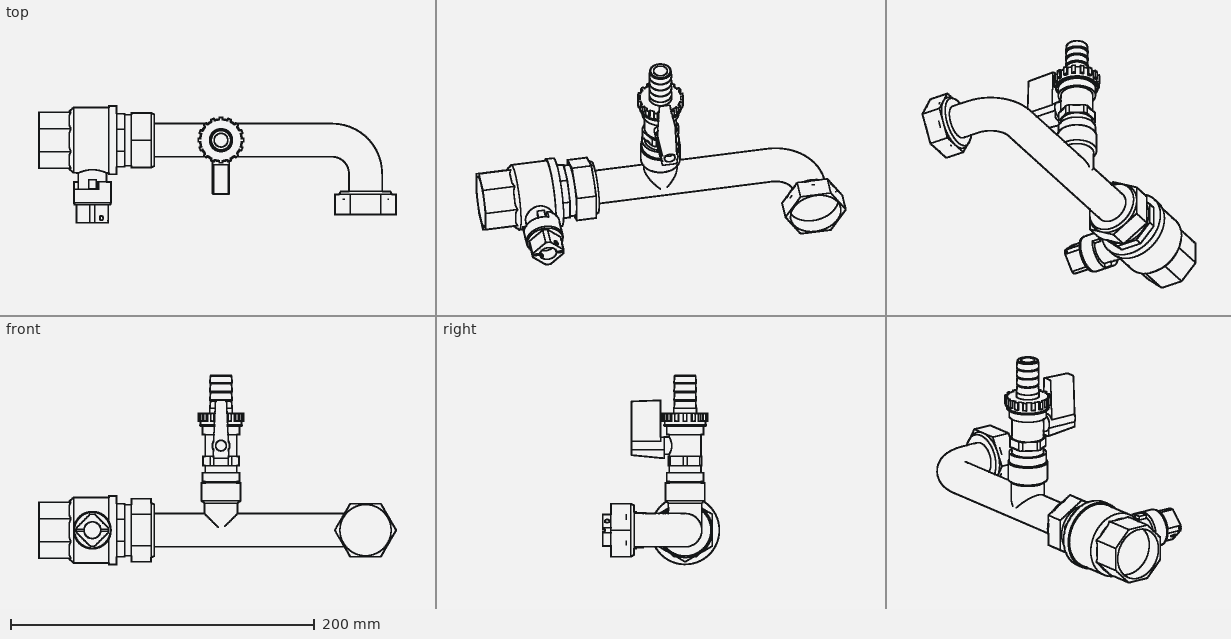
import cadquery as cq
import math


thread_d = 33.7
inlet_octagon_af = 37.0
inlet_length = 20.0
inlet_bore_depth = 10.0
shoulder_length = 3.0
shoulder_start_d = 38.0
body_d = 43.2
flange_d = 45.2
flange_start = 46.2
flange_end = 51.3
outlet_octagon_af = 35.0
outlet_octagon_end = 56.5

union_nut_af = 36.0
union_nut_start = 60.9
union_nut_hex_end = 73.9
union_nut_end = 76.1
union_nut_cone_d = 34.0

pipe_d = 22.0
bend_radius = 22.0
leg_x = 215.0
elbow_start = leg_x - bend_radius

elbow_nut_af = 35.0
elbow_nut_top = -33.6
elbow_nut_hex_top = -35.7
elbow_nut_face = -48.9
elbow_nut_cone_d = 32.6
elbow_nut_bore_depth = 10.0

operator_x = 35.3
operator_neck_d = 18.8
collar_d = 24.5
collar_rim_d = 23.6
collar_start = 27.4
collar_notch_end = 32.3
collar_chamfer_start = 41.3
collar_end = 42.6
notch_start_angle = 70.0
notch_end_angle = 180.0
stop_width = 4.8
stop_start = 26.0
stop_end = 31.9
stop_top = 11.6
square_af = 17.0
square_corner_d = 21.0
square_end = 54.36
square_bore_d = 11.0
square_bore_depth = 8.0
seal_hole_d = 3.0
seal_hole_y = -51.3
slot_width = 1.2
slot_depth = 1.5

tee_x = 119.9
socket_d = 26.0
socket_cone_bottom = 17.8
socket_bottom = 19.4
socket_top = 31.2
tap_thread_d = 20.9
tap_thread_length = 10.0

tap_collar_d = 24.5
tap_body_d = 21.0
lower_collar_bottom = 31.9
lower_collar_top = 37.9
tap_hex_af = 22.0
tap_hex_corner_d = 24.0
tap_hex_bottom = 42.4
tap_hex_top = 48.5
upper_collar_bottom = 62.9

knurl_bottom = 68.5
knurl_lip_bottom = 69.1
knurl_lip_top = 69.5
knurl_teeth_bottom = 71.7
knurl_top = 76.9
knurl_root_d = 27.0
knurl_lip_d = 28.0
tooth_tip_d = 30.0
tooth_width = 2.3
tooth_count = 16

barb_base_top = 80.1
barb_top = 102.01
barb_tip_d = 14.0
barb_base_d = 15.0
barb_d = 14.8
barb_root_d = 14.0
barb_count = 3
barb_pitch = 5.67
barb_step = 0.9
barb_chamfer = 0.6
hose_bore_d = 9.0
hose_bore_depth = 12.0

lever_z = 55.6
lever_boss_d = 11.5
lever_hub_d = 11.2
lever_boss_end = -13.6
lever_end = -35.4
lever_hole_d = 7.0
lever_hole_depth = 5.0
foot_width = 10.0
foot_inner_z = 47.2
foot_end_z = 49.3
plate_start = -16.2
plate_top_width = 7.2
plate_bottom_width = 10.0
plate_inner_top = 85.5
plate_end_top = 84.8
plate_edge_radius = 1.2
foot_edge_radius = 1.0
lever_end_radius = 0.6


def rod(plane, origin, diameter, length):
    """Round bar from the origin along the plane's normal."""
    return cq.Workplane(plane, origin=origin).circle(diameter / 2).extrude(length)


def polygon_bar_x(start, end, sides, across_flats, turn):
    """Bar along X with a regular polygon section, turned about its axis."""
    corner_d = across_flats / math.cos(math.pi / sides)
    bar = cq.Workplane("YZ", origin=(start, 0, 0)).polygon(sides, corner_d).extrude(end - start)
    return bar.rotate((0, 0, 0), (1, 0, 0), turn)


def cone(plane, origin, start_d, end_d, length):
    """Truncated cone from the origin along the plane's normal."""
    base = cq.Workplane(plane, origin=origin).circle(start_d / 2)
    return base.workplane(offset=length).circle(end_d / 2).loft()


def make_ball_valve():
    shoulder_end = inlet_length + shoulder_length
    octagon_turn = 180 / 8
    valve = polygon_bar_x(0, shoulder_end, 8, inlet_octagon_af, octagon_turn)
    valve = valve.union(cone("YZ", (inlet_length, 0, 0), shoulder_start_d, body_d, shoulder_length))
    valve = valve.union(rod("YZ", (shoulder_end, 0, 0), body_d, flange_start - shoulder_end))
    valve = valve.union(rod("YZ", (flange_start, 0, 0), flange_d, flange_end - flange_start))
    valve = valve.union(polygon_bar_x(flange_end, outlet_octagon_end, 8, outlet_octagon_af, octagon_turn))
    valve = valve.union(rod("YZ", (outlet_octagon_end, 0, 0), thread_d, union_nut_start - outlet_octagon_end))
    return valve.cut(rod("YZ", (0, 0, 0), thread_d, inlet_bore_depth))


def make_union_nut():
    nut = polygon_bar_x(union_nut_start, union_nut_hex_end, 6, union_nut_af, 90)
    cone_length = union_nut_end - union_nut_hex_end
    return nut.union(cone("YZ", (union_nut_hex_end, 0, 0), union_nut_af, union_nut_cone_d, cone_length))


def make_stop_collar():
    """Collar around the operator neck; two opposite sectors of its inner edge are cut away."""
    collar = rod("XZ", (operator_x, -collar_start, 0), collar_d, collar_chamfer_start - collar_start)
    rim_length = collar_end - collar_chamfer_start
    collar = collar.union(
        cone("XZ", (operator_x, -collar_chamfer_start, 0), collar_d, collar_rim_d, rim_length)
    )
    reach = collar_d
    half_angle = math.radians((notch_end_angle - notch_start_angle) / 2)
    side = reach / math.cos(half_angle)
    first = math.radians(notch_start_angle)
    last = math.radians(notch_end_angle)
    notch = (
        cq.Workplane("XZ", origin=(operator_x, -collar_start, 0))
        .polyline([
            (0, 0),
            (side * math.cos(first), side * math.sin(first)),
            (side * math.cos(last), side * math.sin(last)),
        ])
        .close()
        .extrude(collar_notch_end - collar_start)
    )
    for turn in (0, 180):
        collar = collar.cut(notch.rotate((operator_x, 0, 0), (operator_x, 1, 0), turn))
    return collar


def make_square_cap():
    """Square drive with rounded corners, standing on its corner, with bore, seal hole and screw slot."""
    length = square_end - collar_end
    axis_point = (operator_x, 0, 0)
    axis_end = (operator_x, 1, 0)
    cap = (
        cq.Workplane("XZ", origin=(operator_x, -collar_end, 0))
        .rect(square_af, square_af)
        .extrude(length)
        .rotate(axis_point, axis_end, 45)
        .intersect(rod("XZ", (operator_x, -collar_end, 0), square_corner_d, length))
    )
    bore_start = -square_end + square_bore_depth
    cap = cap.cut(rod("XZ", (operator_x, bore_start, 0), square_bore_d, square_bore_depth))
    seal_hole = (
        rod("XY", (operator_x, seal_hole_y, -square_af), seal_hole_d, 2 * square_af)
        .rotate(axis_point, axis_end, 45)
    )
    slot = cq.Workplane("XY", origin=(operator_x, -square_end, 0))
    slot = slot.box(square_corner_d, 2 * slot_depth, slot_width)
    return cap.cut(seal_hole).cut(slot)


def make_operator():
    neck = rod("XZ", (operator_x, 0, 0), operator_neck_d, collar_end)
    stop = (
        cq.Workplane("XZ", origin=(operator_x, -stop_start, stop_top / 2))
        .rect(stop_width, stop_top)
        .extrude(stop_end - stop_start)
    )
    return neck.union(stop).union(make_stop_collar()).union(make_square_cap())


def make_pipe():
    path = (
        cq.Workplane("XY")
        .moveTo(union_nut_end, 0)
        .lineTo(elbow_start, 0)
        .tangentArcPoint((leg_x, -bend_radius), relative=False)
        .lineTo(leg_x, elbow_nut_top)
    )
    return cq.Workplane("YZ", origin=(union_nut_end, 0, 0)).circle(pipe_d / 2).sweep(path)


def make_tee_socket():
    socket = rod("XY", (tee_x, 0, 0), pipe_d, socket_bottom)
    socket = socket.union(
        cone("XY", (tee_x, 0, socket_cone_bottom), pipe_d, socket_d, socket_bottom - socket_cone_bottom)
    )
    return socket.union(rod("XY", (tee_x, 0, socket_bottom), socket_d, socket_top - socket_bottom))


def make_elbow_nut():
    cone_length = elbow_nut_top - elbow_nut_hex_top
    nut = cone("XZ", (leg_x, elbow_nut_top, 0), elbow_nut_cone_d, elbow_nut_af, cone_length)
    hexagon_d = elbow_nut_af / math.cos(math.pi / 6)
    hexagon = (
        cq.Workplane("XZ", origin=(leg_x, elbow_nut_hex_top, 0))
        .polygon(6, hexagon_d)
        .extrude(elbow_nut_hex_top - elbow_nut_face)
    )
    bore_start = elbow_nut_face + elbow_nut_bore_depth
    return nut.union(hexagon).cut(rod("XZ", (leg_x, bore_start, 0), thread_d, elbow_nut_bore_depth))


def make_connection_set():
    connection = make_ball_valve().union(make_union_nut()).union(make_operator())
    connection = connection.union(make_pipe()).union(make_tee_socket()).union(make_elbow_nut())
    thread_bore = rod("XY", (tee_x, 0, socket_top - tap_thread_length), tap_thread_d, tap_thread_length)
    return connection.cut(thread_bore)


def make_tap_body():
    """Round tap body with its thread, two collars and a hexagon with rounded corners."""
    thread_bottom = socket_top - tap_thread_length
    body = rod("XY", (tee_x, 0, thread_bottom), tap_thread_d, lower_collar_bottom - thread_bottom)
    sections = [
        (lower_collar_bottom, lower_collar_top, tap_collar_d),
        (lower_collar_top, upper_collar_bottom, tap_body_d),
        (upper_collar_bottom, knurl_bottom, tap_collar_d),
    ]
    for bottom, top, diameter in sections:
        body = body.union(rod("XY", (tee_x, 0, bottom), diameter, top - bottom))
    hex_height = tap_hex_top - tap_hex_bottom
    hexagon = (
        cq.Workplane("XY", origin=(tee_x, 0, tap_hex_bottom))
        .polygon(6, tap_hex_af / math.cos(math.pi / 6))
        .extrude(hex_height)
        .intersect(rod("XY", (tee_x, 0, tap_hex_bottom), tap_hex_corner_d, hex_height))
    )
    return body.union(hexagon)


def make_hose_nut():
    """Hose nut with a lip below and a ring of teeth above."""
    root_r = knurl_root_d / 2
    nut = (
        cq.Workplane("XZ", origin=(tee_x, 0, 0))
        .polyline([
            (0, knurl_bottom),
            (root_r, knurl_bottom),
            (knurl_lip_d / 2, knurl_lip_bottom),
            (root_r, knurl_lip_top),
            (root_r, knurl_top),
            (0, knurl_top),
        ])
        .close()
        .revolve(360, (0, 0, 0), (0, 1, 0))
    )
    tooth_reach = tooth_tip_d / 2
    for index in range(tooth_count):
        tooth = (
            cq.Workplane("XY", origin=(tee_x, 0, knurl_teeth_bottom))
            .center(tooth_reach / 2, 0)
            .rect(tooth_reach, tooth_width)
            .extrude(knurl_top - knurl_teeth_bottom)
            .rotate((tee_x, 0, 0), (tee_x, 0, 1), index * 360 / tooth_count)
        )
        nut = nut.union(tooth)
    return nut


def make_hose_barb():
    """Hose barb whose rings widen downward and step back in."""
    root_r = barb_root_d / 2
    barb_r = barb_d / 2
    outline = [
        (0, knurl_top),
        (barb_base_d / 2, knurl_top),
        (barb_base_d / 2, barb_base_top),
        (barb_r, barb_base_top),
    ]
    for index in range(1, barb_count + 1):
        ring_bottom = barb_base_top + index * barb_pitch
        outline.append((root_r, ring_bottom - barb_step))
        outline.append((barb_r, ring_bottom))
    outline.append((barb_tip_d / 2, barb_top - barb_chamfer))
    outline.append((barb_tip_d / 2 - barb_chamfer, barb_top))
    outline.append((0, barb_top))
    barb = (
        cq.Workplane("XZ", origin=(tee_x, 0, 0))
        .polyline(outline)
        .close()
        .revolve(360, (0, 0, 0), (0, 1, 0))
    )
    return barb.cut(rod("XY", (tee_x, 0, barb_top - hose_bore_depth), hose_bore_d, hose_bore_depth))


def make_lever():
    """Lever on the -Y side: boss, round hub on a sloping foot, and an upright grip plate."""
    boss = rod("XZ", (tee_x, 0, lever_z), lever_boss_d, -lever_boss_end)
    hub_length = lever_boss_end - lever_end
    hub = rod("XZ", (tee_x, lever_boss_end, lever_z), lever_hub_d, hub_length)
    hub = hub.faces("<Y").edges().fillet(lever_end_radius)
    foot = (
        cq.Workplane("YZ", origin=(tee_x - foot_width / 2, 0, 0))
        .polyline([
            (lever_boss_end, lever_z),
            (lever_boss_end, foot_inner_z),
            (lever_end, foot_end_z),
            (lever_end, lever_z),
        ])
        .close()
        .extrude(foot_width)
        .faces("<Z")
        .edges("not |X")
        .fillet(foot_edge_radius)
        .faces("<Y")
        .edges("not >Z")
        .fillet(lever_end_radius)
    )
    plate_front = (
        cq.Workplane("XZ", origin=(tee_x, plate_start, 0))
        .polyline([
            (-plate_bottom_width / 2, lever_z),
            (plate_bottom_width / 2, lever_z),
            (plate_top_width / 2, plate_inner_top),
            (-plate_top_width / 2, plate_inner_top),
        ])
        .close()
        .extrude(plate_start - lever_end)
    )
    plate_side = (
        cq.Workplane("YZ", origin=(tee_x - plate_bottom_width, 0, 0))
        .polyline([
            (plate_start, lever_z),
            (plate_start, plate_inner_top),
            (lever_end, plate_end_top),
            (lever_end, lever_z),
        ])
        .close()
        .extrude(2 * plate_bottom_width)
    )
    plate = plate_front.intersect(plate_side)
    plate = plate.faces(">Z").edges("not |X").fillet(plate_edge_radius)
    plate = plate.faces("<Y").edges("not <Z").fillet(lever_end_radius)
    hole = rod("XZ", (tee_x, lever_end + lever_hole_depth, lever_z), lever_hole_d, lever_hole_depth)
    return boss.union(hub).union(foot).union(plate).cut(hole)


def make_drain_tap():
    return make_tap_body().union(make_hose_nut()).union(make_hose_barb()).union(make_lever())


connection_set = make_connection_set()
drain_tap = make_drain_tap()

result = cq.Compound.makeCompound([connection_set.val(), drain_tap.val()])